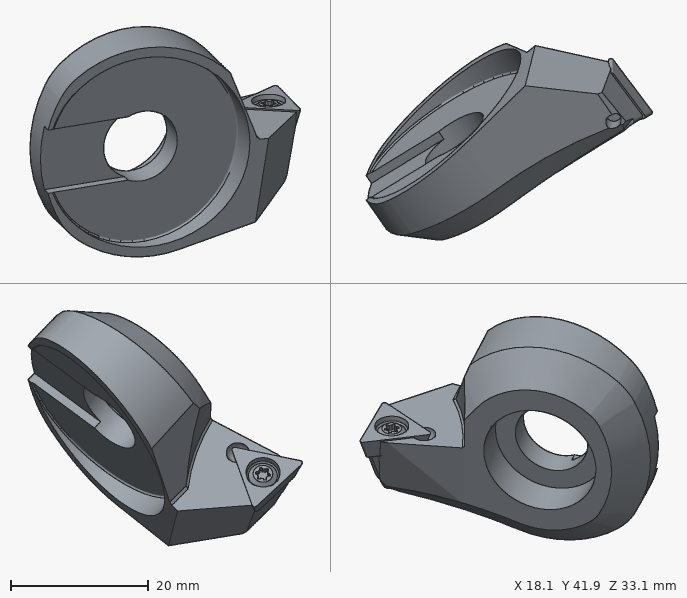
import cadquery as cq
import math

RING_RADIUS = 16.55
FLAT_SIDE_RADIUS = 20.82
FLAT_SIDE_REACH = 15.4
BLEND_RADIUS = 10.05
CHAMFER = 4.53
BORE_RADIUS = 5.5
COUNTERBORE_RADIUS = 8.5
COUNTERBORE_DEPTH = 5.85
BACK_X = 12.28
BACK_SLOPE = 8.7
RECESS_RADIUS = 15.0
RECESS_FLOOR_X = 9.97
RECESS_FILLET = 0.25
SLOT_WIDTH = 10.0
SLOT_DEPTH = 1.4
OVERSIZE = 41.9

UPPER_TANGENT = 36.8
LOWER_TANGENT = 15.8
NOSE_Y = 23.5
FRONT_NOSE_Y = 23.35
FRONT_NOSE_Z = -9.0
NOSE_ANGLE = 56.0
BLANK_END_Y = 27.65
BLANK_TOP_Z = 0.85
BLANK_FRONT_X = -3.77
ARM_ROOT_Y = 11.55
SIDE_FACE_X = -1.85
SIDE_FACE_END_Y = 22.8
REAR_FACE_X = 7.35
REAR_FACE_Y = 25.2
REAR_FACE_ANGLE = 45.8
REAR_RELIEF = 7.0
SHOULDER_Y = 16.2
SHOULDER_LEAN = 20.4
SHOULDER_CURVE = [(0, 11.45), (5.85, 13.3), (12.15, 16.85)]
SHOULDER_CHAMFER = 0.35

INSERT_X = 2.0
INSERT_Y = 23.1
INSERT_TOP_Z = 0.2
INSERT_INRADIUS = 3.2
INSERT_CORNER = 0.4
INSERT_THICKNESS = 3.2
INSERT_TURN = 87.6
INSERT_CLEARANCE = 9.8
NOSE_CLEARANCE = 10.5
NOSE_MARGIN = 0.13
NOSE_SETBACK = 0.13
INSERT_PROUD = 0.272
TOP_TILT = 1.8
RELIEF_RADIUS = 1.68
RELIEF_X = 1.75
RELIEF_Y = 18.1

HOLE_MOUTH_RADIUS = 2.47
HEAD_RADIUS = 2.1
SEAT_RADIUS = 2.35
SEAT_DEPTH = 0.75
HEAD_TOP_DEPTH = 0.4
HEAD_FLAT_RADIUS = 1.42
SHANK_RADIUS = 1.1
SCREW_LENGTH = 7.55
HEAD_RIM_DEPTH = SEAT_DEPTH + SEAT_RADIUS - HEAD_RADIUS
SEAT_END_DEPTH = SEAT_DEPTH + SEAT_RADIUS - SHANK_RADIUS
DRIVE_CORE_RADIUS = 0.8
DRIVE_LOBE_RADIUS = 0.2
DRIVE_LOBE_OFFSET = 0.9
DRIVE_DEPTH = 0.85
DRIVE_LOBES = 6


def polar(radius, degrees, center=(0, 0)):
    angle = math.radians(degrees)
    return (center[0] + radius * math.cos(angle), center[1] + radius * math.sin(angle))


def tan(degrees):
    return math.tan(math.radians(degrees))


TILT = math.radians(TOP_TILT)


def tilted_plane(drop):
    """Plane parallel to the insert top, `drop` below it along the insert axis."""
    normal = cq.Vector(-math.sin(TILT), 0, math.cos(TILT))
    origin = cq.Vector(INSERT_X, INSERT_Y, INSERT_TOP_Z) - normal * drop
    return cq.Plane(origin=origin, xDir=(math.cos(TILT), 0, math.sin(TILT)), normal=normal)


def side_tangency():
    """Centre of the shallow arc and of the blend arc, and the angles where the arcs meet."""
    side_center = FLAT_SIDE_RADIUS - FLAT_SIDE_REACH
    to_ring = RING_RADIUS - BLEND_RADIUS
    to_side = FLAT_SIDE_RADIUS - BLEND_RADIUS
    y = (to_side**2 - to_ring**2 - side_center**2) / (2 * side_center)
    z = math.sqrt(to_ring**2 - y**2)
    ring_angle = math.degrees(math.atan2(z, y))
    side_angle = math.degrees(math.atan2(z, y + side_center))
    return side_center, (-y, z), ring_angle, side_angle


def outline(x, inset, nose_corner, curved_underside):
    """Closed outline of ring and arm at X = x, with its arcs moved inwards by `inset`."""
    side_center, blend_center, ring_angle, side_angle = side_tangency()
    ring = RING_RADIUS - inset
    side = FLAT_SIDE_RADIUS - inset
    blend = BLEND_RADIUS - inset
    upper_blend = blend_center
    lower_blend = (blend_center[0], -blend_center[1])
    side_start = polar(side, 180 - side_angle, (side_center, 0))
    side_end = polar(side, 180 + side_angle, (side_center, 0))
    mid_angle = (ring_angle + side_angle) / 2
    run = BLANK_END_Y - nose_corner[0]
    upper = math.radians(UPPER_TANGENT)
    top_y = (ring - BLANK_TOP_Z * math.sin(upper)) / math.cos(upper)
    wire = (
        cq.Workplane("YZ", origin=(x, 0, 0))
        .moveTo(*polar(ring, UPPER_TANGENT))
        .threePointArc((0, ring), polar(ring, 180 - ring_angle))
        .threePointArc(polar(blend, 180 - mid_angle, upper_blend), side_start)
        .threePointArc((side_center - side, 0), side_end)
        .threePointArc(polar(blend, 180 + mid_angle, lower_blend), polar(ring, 180 + ring_angle))
        .threePointArc((0, -ring), polar(ring, LOWER_TANGENT - 90))
    )
    if curved_underside:
        wire = wire.tangentArcPoint(nose_corner, relative=False)
    else:
        wire = wire.lineTo(*nose_corner)
    return (
        wire.lineTo(BLANK_END_Y, nose_corner[1] + run * tan(NOSE_ANGLE))
        .lineTo(BLANK_END_Y, BLANK_TOP_Z)
        .lineTo(top_y, BLANK_TOP_Z)
        .close()
    )


def front_nose_corner(growth):
    """Nose corner of the front outline with both of its neighbouring sides moved out by `growth`."""
    half_turn = tan(NOSE_ANGLE / 2)
    return (FRONT_NOSE_Y + growth * half_turn, FRONT_NOSE_Z - growth)


def blank():
    """Ring and untrimmed arm, with the chamfer that fades along the arm's underside."""
    lower = math.radians(LOWER_TANGENT)
    nose_z = NOSE_Y * math.tan(lower) - RING_RADIUS / math.cos(lower)
    nose_corner = (NOSE_Y, nose_z)
    front = outline(0, CHAMFER, front_nose_corner(0), True)
    grown_front = outline(CHAMFER, 0, front_nose_corner(CHAMFER), True)
    tapered = cq.Workplane(cq.Solid.makeLoft([front.wires().val(), grown_front.wires().val()], True))
    chamfered = tapered.intersect(outline(0, 0, nose_corner, False).extrude(CHAMFER))
    back = outline(CHAMFER, 0, nose_corner, False).extrude(OVERSIZE)
    arm_front = outline(0, CHAMFER, front_nose_corner(0), True).extrude(BLANK_FRONT_X)
    return back.union(chamfered).union(arm_front)


def insert_wire(inset, plane):
    """Triangle with rounded corners, its sides moved inwards by `inset`."""
    corner_distance = 2 * (INSERT_INRADIUS - inset - INSERT_CORNER)
    wire = cq.Workplane(plane)
    for corner in range(3):
        bisector = INSERT_TURN + 60 + 120 * corner
        center = polar(corner_distance, bisector)
        start = polar(INSERT_CORNER, bisector - 60, center)
        wire = wire.moveTo(*start) if corner == 0 else wire.lineTo(*start)
        wire = wire.threePointArc(
            polar(INSERT_CORNER, bisector, center), polar(INSERT_CORNER, bisector + 60, center)
        )
    return wire.close().wires().val()


def insert_blank():
    inset = INSERT_THICKNESS * tan(INSERT_CLEARANCE)
    return cq.Workplane(
        cq.Solid.makeLoft(
            [insert_wire(0, tilted_plane(0)), insert_wire(inset, tilted_plane(INSERT_THICKNESS))], True
        )
    )


def nose_wire(z):
    """Plan outline of the arm's nose and relieved side at height z."""
    inset = -z * tan(NOSE_CLEARANCE)
    side_x = SIDE_FACE_X + inset
    bisector = INSERT_TURN + 60
    axis = polar(-NOSE_SETBACK, INSERT_TURN + 30, (INSERT_X, INSERT_Y))
    corner_distance = 2 * (INSERT_INRADIUS - NOSE_MARGIN - inset - INSERT_CORNER)
    center = polar(corner_distance, bisector, axis)
    front_start = polar(INSERT_CORNER, INSERT_TURN, center)
    flank_start = polar(INSERT_CORNER, INSERT_TURN + 120, center)
    flank_slope = tan(INSERT_TURN + 30)
    return (
        cq.Workplane("XY", origin=(0, 0, z))
        .moveTo(*polar(OVERSIZE, INSERT_TURN - 90, front_start))
        .lineTo(*front_start)
        .threePointArc(polar(INSERT_CORNER, bisector, center), flank_start)
        .lineTo(side_x, flank_start[1] + (side_x - flank_start[0]) * flank_slope)
        .lineTo(side_x, 0)
        .lineTo(OVERSIZE, 0)
        .close()
        .wires()
        .val()
    )


def nose_waste():
    """Everything beyond the arm root that lies outside the relieved nose."""
    height = RING_RADIUS + BLANK_TOP_Z
    keep = cq.Solid.makeLoft([nose_wire(BLANK_TOP_Z), nose_wire(BLANK_TOP_Z - height)], True)
    region = cq.Workplane("XY", origin=(0, 0, BLANK_TOP_Z - height)).box(
        OVERSIZE, OVERSIZE, height, centered=(True, False, False)
    )
    region = region.translate((0, ARM_ROOT_Y, 0))
    return region.cut(cq.Workplane(keep))


def side_waste():
    """In front of the ring face, up to the upright side face of the arm."""
    return (
        cq.Workplane("XY", origin=(0, 0, -OVERSIZE / 2))
        .polyline(
            [
                (0, -OVERSIZE),
                (0, ARM_ROOT_Y),
                (SIDE_FACE_X, SIDE_FACE_END_Y),
                (2 * SIDE_FACE_X, 2 * SIDE_FACE_END_Y - ARM_ROOT_Y),
                (-OVERSIZE, -OVERSIZE),
            ]
        )
        .close()
        .extrude(OVERSIZE)
    )


def rear_waste():
    """Behind the diagonal rear face, which leans in towards -Z."""
    normal = cq.Vector(*polar(1, REAR_FACE_ANGLE), -tan(REAR_RELIEF))
    plane = cq.Plane(
        origin=(REAR_FACE_X, REAR_FACE_Y, 0), xDir=(*polar(1, REAR_FACE_ANGLE - 90), 0), normal=normal
    )
    return cq.Workplane(plane).rect(2 * OVERSIZE, 2 * OVERSIZE).extrude(OVERSIZE)


def back_waste():
    """Behind the sloped back face."""
    rise = OVERSIZE * tan(BACK_SLOPE)
    return (
        cq.Workplane("XY", origin=(0, 0, -OVERSIZE / 2))
        .polyline(
            [
                (BACK_X - rise, -OVERSIZE),
                (BACK_X + rise, OVERSIZE),
                (2 * OVERSIZE, OVERSIZE),
                (2 * OVERSIZE, -OVERSIZE),
            ]
        )
        .close()
        .extrude(OVERSIZE)
    )


def shoulder_waste():
    """Above the arm top, up to the sloped and the curved shoulder."""
    plane = tilted_plane(INSERT_PROUD)
    curve = [(x - INSERT_X, y - INSERT_Y) for x, y in SHOULDER_CURVE]
    far = OVERSIZE / 2
    curved = (
        cq.Workplane(plane)
        .moveTo(*curve[0])
        .threePointArc(curve[1], curve[2])
        .lineTo(curve[2][0], far)
        .lineTo(-far, far)
        .lineTo(-far, curve[0][1])
        .close()
        .extrude(far)
    )
    foot = SHOULDER_Y - INSERT_Y
    sloped = (
        cq.Workplane(cq.Plane(plane.toWorldCoords((-far, 0, 0)), xDir=(0, 1, 0), normal=plane.xDir))
        .polyline([(foot, 0), (foot - far * tan(SHOULDER_LEAN), far), (far, far), (far, 0)])
        .close()
        .extrude(OVERSIZE)
    )
    curved_foot = curved.faces(cq.selectors.DirectionMinMaxSelector(plane.zDir, False)).edges("%CIRCLE")
    sloped_foot = sloped.edges(cq.selectors.NearestToPointSelector((INSERT_X, SHOULDER_Y, plane.origin.z)))
    return curved_foot.chamfer(SHOULDER_CHAMFER).union(sloped_foot.chamfer(SHOULDER_CHAMFER))


def turned_on_insert_axis(points):
    """Solid of revolution about the insert axis from (radius, height) points."""
    plane = tilted_plane(0)
    section = cq.Plane(plane.origin, xDir=plane.xDir, normal=-plane.yDir)
    return cq.Workplane(section).polyline(points).close().revolve(360, (0, 0), (0, 1))


def screw():
    body = turned_on_insert_axis(
        [
            (0, -HEAD_TOP_DEPTH),
            (HEAD_FLAT_RADIUS, -HEAD_TOP_DEPTH),
            (HEAD_RADIUS, -HEAD_RIM_DEPTH),
            (SHANK_RADIUS, -SEAT_END_DEPTH),
            (SHANK_RADIUS, -SCREW_LENGTH),
            (0, -SCREW_LENGTH),
        ]
    )
    top = tilted_plane(HEAD_TOP_DEPTH)
    drive = cq.Workplane(top).circle(DRIVE_CORE_RADIUS).extrude(-DRIVE_DEPTH)
    lobes = (
        cq.Workplane(top)
        .polarArray(DRIVE_LOBE_OFFSET, 0, 360, DRIVE_LOBES)
        .circle(DRIVE_LOBE_RADIUS)
        .extrude(-DRIVE_DEPTH)
    )
    return body.cut(drive.union(lobes))


def insert():
    hole = turned_on_insert_axis(
        [
            (0, 0),
            (HOLE_MOUTH_RADIUS, 0),
            (SEAT_RADIUS, -SEAT_DEPTH),
            (SHANK_RADIUS, -SEAT_END_DEPTH),
            (SHANK_RADIUS, -INSERT_THICKNESS),
            (0, -INSERT_THICKNESS),
        ]
    )
    return insert_blank().cut(hole)


def x_cylinder(radius, start, end):
    return cq.Workplane("YZ", origin=(start, 0, 0)).circle(radius).extrude(end - start)


def holder():
    body = blank().cut(nose_waste()).cut(side_waste()).cut(rear_waste()).cut(back_waste())
    body = body.cut(shoulder_waste())
    body = body.cut(x_cylinder(BORE_RADIUS, 0, OVERSIZE))
    body = body.cut(x_cylinder(COUNTERBORE_RADIUS, 0, COUNTERBORE_DEPTH))
    recess = x_cylinder(RECESS_RADIUS, RECESS_FLOOR_X, OVERSIZE)
    body = body.cut(recess.faces("<X").edges().fillet(RECESS_FILLET))
    slot = cq.Workplane("XY").box(OVERSIZE, OVERSIZE, SLOT_WIDTH, centered=(False, False, True))
    body = body.cut(slot.translate((RECESS_FLOOR_X - SLOT_DEPTH, -OVERSIZE, 0)))
    seat = tilted_plane(INSERT_PROUD)
    relief_center = seat.toWorldCoords((RELIEF_X - INSERT_X, RELIEF_Y - INSERT_Y, 0))
    body = body.cut(cq.Workplane("XY").sphere(RELIEF_RADIUS).translate(relief_center))
    body = body.cut(insert_blank())
    return body.cut(cq.Workplane(seat).circle(SHANK_RADIUS).extrude(-OVERSIZE / 2))


result = cq.Compound.makeCompound([holder().val(), insert().val(), screw().val()])